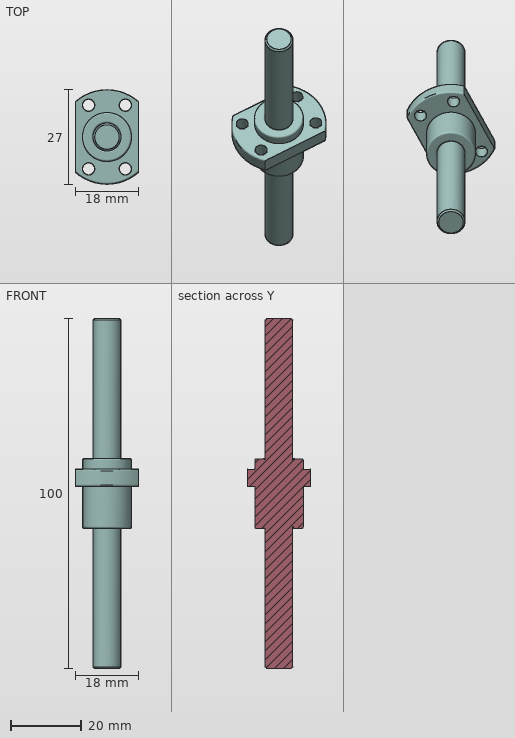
import cadquery as cq
import math

shaft_length = 100.0
shaft_diameter = 8.0

nut_length = 20.0
nut_diameter = 14.0

flange_diameter = 27.0
flange_width = 18.0
flange_thickness = 5.0
collar_height = 3.0

bolt_circle_diameter = 21.0
bolt_hole_diameter = 3.4
bolt_angles = (60.0, 120.0, 240.0, 300.0)

nut_edge_radius = 0.5
shaft_end_chamfer = 0.5

nut_top = nut_length / 2
flange_top = nut_top - collar_height
flange_bottom = flange_top - flange_thickness


def cylinder(diameter, bottom, height):
    """Plain cylinder on the Z axis, starting at the given height."""
    return cq.Workplane("XY").workplane(offset=bottom).circle(diameter / 2).extrude(height)


def make_nut_body():
    """Tube bored to the shaft diameter, with every rim rounded, inside and out."""
    body = cylinder(nut_diameter, -nut_length / 2, nut_length)
    bore = cylinder(shaft_diameter, -nut_length / 2, nut_length)
    return body.cut(bore).faces("<Z or >Z").edges().fillet(nut_edge_radius)


def make_flange():
    """Ring around the nut body with rounded arc edges and sharp-edged flats."""
    disc = (
        cylinder(flange_diameter, flange_bottom, flange_thickness)
        .faces("<Z or >Z")
        .edges()
        .fillet(nut_edge_radius)
    )
    width_limit = (
        cq.Workplane("XY")
        .workplane(offset=flange_bottom)
        .rect(flange_width, flange_diameter)
        .extrude(flange_thickness)
    )
    nut_seat = cylinder(nut_diameter, flange_bottom, flange_thickness)
    return disc.intersect(width_limit).cut(nut_seat)


def make_bolt_holes():
    """Cylinders for the four through holes in the flange."""
    radius = bolt_circle_diameter / 2
    centres = []
    for angle in bolt_angles:
        direction = math.radians(angle)
        centres.append((radius * math.cos(direction), radius * math.sin(direction)))
    return (
        cq.Workplane("XY")
        .workplane(offset=flange_bottom)
        .pushPoints(centres)
        .circle(bolt_hole_diameter / 2)
        .extrude(flange_thickness)
    )


def make_shaft():
    """Straight shaft with chamfered ends."""
    rod = cylinder(shaft_diameter, -shaft_length / 2, shaft_length)
    return rod.faces("<Z or >Z").edges().chamfer(shaft_end_chamfer)


nut = make_nut_body().union(make_flange()).cut(make_bolt_holes())
result = nut.union(make_shaft())